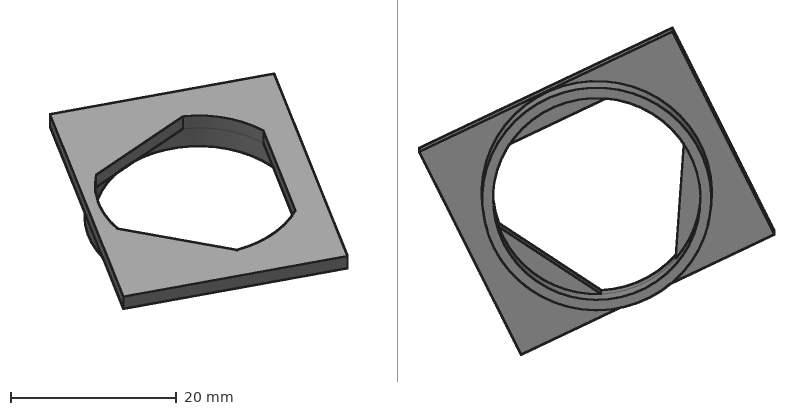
import cadquery as cq

plate_length = 34.0
plate_width = 28.0
plate_thickness = 2.0

collar_height = 3.0
collar_top_radius = 13.9
collar_bottom_radius = 13.8

bore_radius = 12.5
flat_distance = 10.05
flat_count = 3
first_flat_angle = 90.0


def make_plate():
    return cq.Workplane("XY").box(
        plate_length, plate_width, plate_thickness, centered=(True, True, False)
    )


def make_collar():
    return (
        cq.Workplane("XY")
        .circle(collar_top_radius)
        .workplane(offset=-collar_height)
        .circle(collar_bottom_radius)
        .loft(ruled=True)
    )


def make_plate_opening():
    opening = cq.Workplane("XY").circle(bore_radius).extrude(plate_thickness)
    flat_depth = bore_radius - flat_distance
    segment = cq.Workplane("XY").box(
        flat_depth, 2 * bore_radius, plate_thickness, centered=(False, True, False)
    ).translate((flat_distance, 0, 0))
    for index in range(flat_count):
        angle = first_flat_angle + index * 360 / flat_count
        opening = opening.cut(segment.rotate((0, 0, 0), (0, 0, 1), angle))
    return opening


collar_bore = cq.Workplane("XY").circle(bore_radius).extrude(-collar_height)
collar = make_collar().cut(collar_bore)
result = make_plate().cut(make_plate_opening()).union(collar)